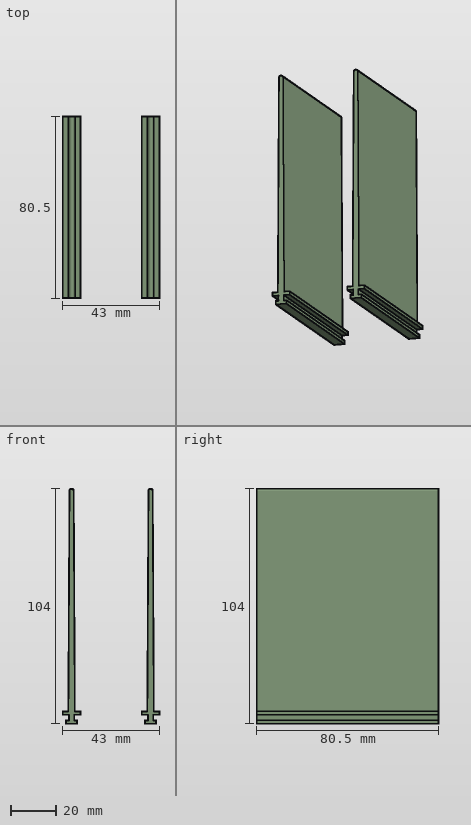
import cadquery as cq

total_height = 104.0
panel_length = 80.5
overall_width = 43.0

foot_width = 5.0
foot_height = 1.6
neck_width = 2.5
flange_width = 8.0
flange_bottom = 4.0
flange_top = 5.5

plate_base_width = 3.0
plate_tip_width = 2.0
tip_radius = plate_tip_width / 2
tip_start = total_height - tip_radius

panel_spacing = overall_width - flange_width


def make_panel(center_x):
    """Extrude one symmetric panel profile along Y, centered on center_x."""
    right_side = [
        (foot_width / 2, 0),
        (foot_width / 2, foot_height),
        (neck_width / 2, foot_height),
        (neck_width / 2, flange_bottom),
        (flange_width / 2, flange_bottom),
        (flange_width / 2, flange_top),
        (plate_base_width / 2, flange_top),
        (plate_tip_width / 2, tip_start),
    ]
    left_side = [(-x, z) for x, z in reversed(right_side)]
    return (
        cq.Workplane("XZ")
        .polyline(right_side)
        .threePointArc((0, total_height), left_side[0])
        .polyline(left_side[1:], includeCurrent=True)
        .close()
        .extrude(panel_length / 2, both=True)
        .translate((center_x, 0, 0))
    )


panels = []
for side in (-1, 1):
    panels.append(make_panel(side * panel_spacing / 2).val())

result = cq.Compound.makeCompound(panels)